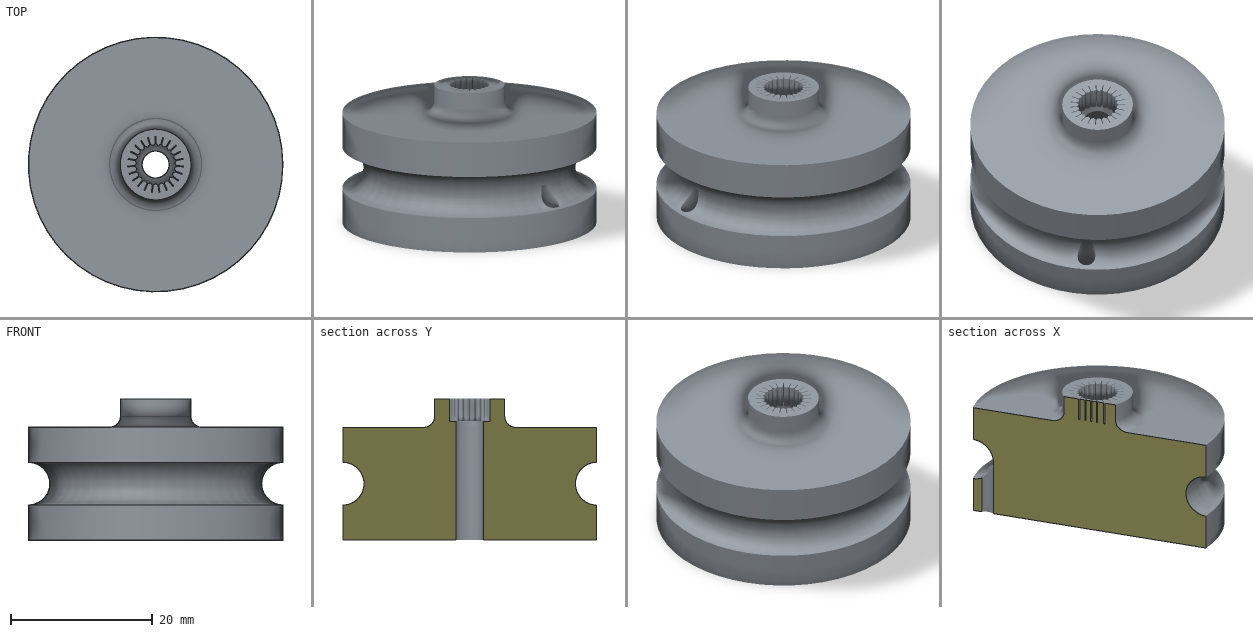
import cadquery as cq
import math

wheel_radius = 18.0
flange_thickness = 5.0
groove_radius = 3.0
wheel_height = 2 * flange_thickness + 2 * groove_radius

hub_radius = 5.0
hub_height = 4.0
hub_fillet = 1.5
total_height = wheel_height + hub_height

bore_radius = 1.9
tooth_count = 23
tooth_tip_radius = 2.7
tooth_root_radius = 3.0
socket_depth = 3.2
socket_floor = total_height - socket_depth

cord_hole_radius = 1.25
cord_hole_center = (-4.0, 15.5)
groove_middle = flange_thickness + groove_radius

slit_outer_radius = 3.95
slit_width = 0.12
first_slit_angle = 90


def polar_point(radius, angle):
    return (radius * math.cos(angle), radius * math.sin(angle))


def make_wheel():
    """Revolve the half section: grooved rim, flat faces and filleted hub."""
    diagonal = hub_fillet * (1 - math.sqrt(0.5))
    groove_floor = (wheel_radius - groove_radius, groove_middle)
    return (
        cq.Workplane("XZ")
        .lineTo(wheel_radius, 0)
        .lineTo(wheel_radius, flange_thickness)
        .threePointArc(groove_floor, (wheel_radius, wheel_height - flange_thickness))
        .lineTo(wheel_radius, wheel_height)
        .lineTo(hub_radius + hub_fillet, wheel_height)
        .threePointArc(
            (hub_radius + diagonal, wheel_height + diagonal),
            (hub_radius, wheel_height + hub_fillet),
        )
        .lineTo(hub_radius, total_height)
        .lineTo(0, total_height)
        .close()
        .revolve(360, (0, 0, 0), (0, 1, 0))
    )


def make_bore():
    return cq.Workplane("XY").circle(bore_radius).extrude(total_height)


def make_socket():
    """Star-shaped socket whose roots lie at the slits, the first one on +Y."""
    pitch = 2 * math.pi / tooth_count
    points = []
    for tooth in range(tooth_count):
        root_angle = math.radians(first_slit_angle) + tooth * pitch
        points.append(polar_point(tooth_root_radius, root_angle))
        points.append(polar_point(tooth_tip_radius, root_angle + pitch / 2))
    socket = cq.Workplane("XY", origin=(0, 0, socket_floor))
    return socket.polyline(points).close().extrude(socket_depth)


def make_cord_hole():
    return cq.Workplane("XY").center(*cord_hole_center).circle(cord_hole_radius).extrude(groove_middle)


def make_slits():
    slit_length = slit_outer_radius - tooth_tip_radius
    slit_middle = (slit_outer_radius + tooth_tip_radius) / 2
    return (
        cq.Workplane("XY", origin=(0, 0, socket_floor))
        .polarArray(slit_middle, first_slit_angle, 360, tooth_count)
        .rect(slit_length, slit_width)
        .extrude(socket_depth)
    )


result = (
    make_wheel()
    .cut(make_bore())
    .cut(make_socket())
    .cut(make_slits())
    .cut(make_cord_hole())
)